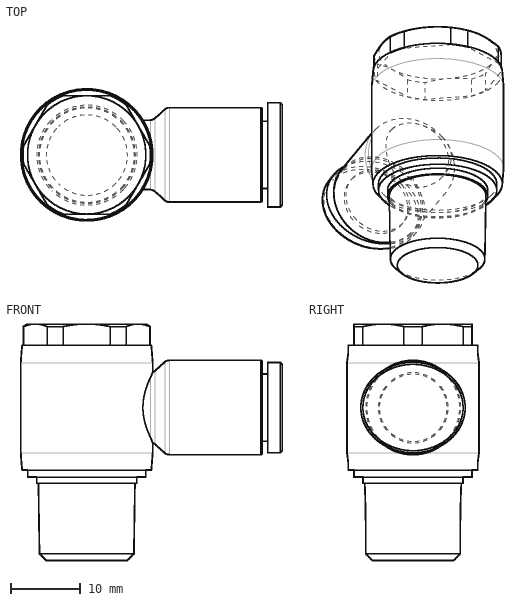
import cadquery as cq
import math


tip_chamfer = 1.0
thread_top_z = 11.1
collar_top_z = 12.0
body_bottom_z = 13.0
body_top_z = 30.95
overall_height = 34.0
body_end_length = 2.5

thread_tip_radius = 6.8
thread_top_radius = 6.95
collar_radius = 7.2
washer_radius = 8.5
body_radius = 9.5
body_end_radius = 9.3

hex_sides = 6
hex_across_flats = 17.0
hex_corner_radius = 9.15
hex_chamfer_angle = 30.0

port_z = 22.0
neck_radius = 5.0
neck_end_x = 9.1
port_radius = 6.8
shoulder_angle = 42.0
shoulder_fillet = 1.0
port_end_x = 25.25
port_end_chamfer_length = 0.25
port_end_chamfer_depth = 0.15

sleeve_radius = 4.85
release_start_x = 26.0
release_end_x = 28.1
release_half_width = 7.5
release_half_height = 6.5
release_chamfer = 0.3


def make_stem():
    """Revolve the thread, collar, washer and body about the Z axis."""
    profile = (
        cq.Workplane("XZ")
        .moveTo(0, 0)
        .lineTo(thread_tip_radius - tip_chamfer, 0)
        .lineTo(thread_tip_radius, tip_chamfer)
        .lineTo(thread_top_radius, thread_top_z)
        .lineTo(collar_radius, thread_top_z)
        .lineTo(collar_radius, collar_top_z)
        .lineTo(washer_radius, collar_top_z)
        .lineTo(washer_radius, body_bottom_z)
        .lineTo(body_end_radius, body_bottom_z)
        .lineTo(body_radius, body_bottom_z + body_end_length)
        .lineTo(body_radius, body_top_z - body_end_length)
        .lineTo(body_end_radius, body_top_z)
        .lineTo(0, body_top_z)
        .close()
    )
    return profile.revolve(360, (0, 0, 0), (0, 1, 0))


def make_hex_head():
    """Hexagon trimmed by a turned blank whose top edge is chamfered to the flats."""
    across_corners = hex_across_flats / math.cos(math.pi / hex_sides)
    head_height = overall_height - body_top_z
    hexagon = (
        cq.Workplane("XY", origin=(0, 0, body_top_z))
        .polygon(hex_sides, across_corners)
        .extrude(head_height)
    )

    top_radius = hex_across_flats / 2
    chamfer_drop = (hex_corner_radius - top_radius) * math.tan(math.radians(hex_chamfer_angle))
    blank = (
        cq.Workplane("XZ")
        .moveTo(0, body_top_z)
        .lineTo(hex_corner_radius, body_top_z)
        .lineTo(hex_corner_radius, overall_height - chamfer_drop)
        .lineTo(top_radius, overall_height)
        .lineTo(0, overall_height)
        .close()
        .revolve(360, (0, 0, 0), (0, 1, 0))
    )
    return hexagon.intersect(blank)


def make_port():
    """Revolve the neck, rounded conical shoulder, port barrel and inner sleeve about the port axis."""
    angle = math.radians(shoulder_angle)

    def arc_offset(turn):
        return shoulder_fillet * math.sin(turn), shoulder_fillet * (1 - math.cos(turn))

    arc_run, arc_rise = arc_offset(angle)
    mid_run, mid_rise = arc_offset(angle / 2)
    cone_rise = port_radius - neck_radius - 2 * arc_rise
    barrel_start_x = neck_end_x + 2 * arc_run + cone_rise / math.tan(angle)

    profile = (
        cq.Workplane("XZ", origin=(0, 0, port_z))
        .moveTo(0, 0)
        .lineTo(0, neck_radius)
        .lineTo(neck_end_x, neck_radius)
        .threePointArc(
            (neck_end_x + mid_run, neck_radius + mid_rise),
            (neck_end_x + arc_run, neck_radius + arc_rise),
        )
        .lineTo(barrel_start_x - arc_run, port_radius - arc_rise)
        .threePointArc(
            (barrel_start_x - mid_run, port_radius - mid_rise),
            (barrel_start_x, port_radius),
        )
        .lineTo(port_end_x - port_end_chamfer_length, port_radius)
        .lineTo(port_end_x, port_radius - port_end_chamfer_depth)
        .lineTo(port_end_x, sleeve_radius)
        .lineTo(release_start_x, sleeve_radius)
        .lineTo(release_start_x, 0)
        .close()
    )
    return profile.revolve(360, (0, 0, 0), (1, 0, 0))


def make_release_collar():
    """Oval release collar at the outer end of the port, wider in Y than in Z."""
    return (
        cq.Workplane("YZ", origin=(release_start_x, 0, port_z))
        .ellipse(release_half_width, release_half_height)
        .extrude(release_end_x - release_start_x)
        .faces(">X")
        .chamfer(release_chamfer)
    )


result = make_stem().union(make_hex_head()).union(make_port()).union(make_release_collar())